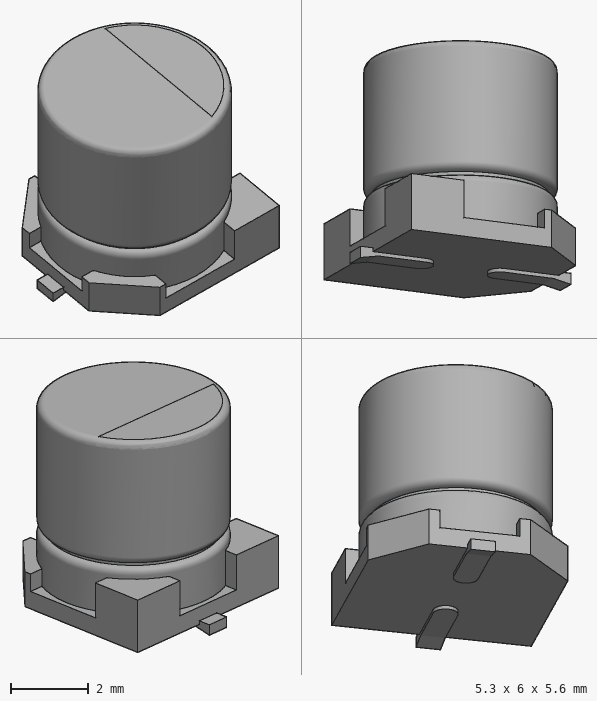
import cadquery as cq

base_bottom = 0.2
base_floor = 0.7
front_post_top = 1.2
rear_post_top = 1.7
can_bottom = base_floor
groove_bottom = 2.0
groove_top = 2.1
can_top = 5.6

base_size = 5.3
base_half = base_size / 2
corner_chamfer = 1.3
side_gap_width = 2.3
end_gap_width = 2.12

can_radius = 5.0 / 2
edge_radius = 0.2
groove_radius = can_radius - edge_radius

mark_edge_y = 0.8
mark_thickness = 0.1

lead_width = 0.65
lead_inner_y = 0.8
lead_outer_y = 3.0
lead_bottom = 0.1
lead_top = 0.3
lead_bend_length = 0.5
lead_bend_y = lead_outer_y - lead_bend_length


def make_can():
    """Revolved can with rounded rims above and below the crimp groove."""
    profile = (
        cq.Workplane("XZ")
        .moveTo(0, can_bottom)
        .lineTo(can_radius, can_bottom)
        .lineTo(can_radius, groove_bottom - edge_radius)
        .radiusArc((groove_radius, groove_bottom), -edge_radius)
        .lineTo(groove_radius, groove_top)
        .radiusArc((can_radius, groove_top + edge_radius), -edge_radius)
        .lineTo(can_radius, can_top - edge_radius)
        .radiusArc((groove_radius, can_top), -edge_radius)
        .lineTo(0, can_top)
        .close()
    )
    return profile.revolve(360, (0, 0, 0), (0, 1, 0))


def make_mark():
    """Circular segment on the +Y side, flush with the can top."""
    disc = (
        cq.Workplane("XY", origin=(0, 0, can_top - mark_thickness))
        .circle(groove_radius)
        .extrude(mark_thickness)
    )
    front_part = (
        cq.Workplane("XY", origin=(0, mark_edge_y - can_radius, can_top))
        .box(2 * can_radius, 2 * can_radius, 2 * mark_thickness)
    )
    return disc.cut(front_part)


def make_lead(side):
    """Lead with a round inner end and a down-sloping outer tip; side is +1 for +Y, -1 for -Y."""
    half_width = lead_width / 2
    round_center_y = side * (lead_inner_y + half_width)
    side_profile = [
        (side * lead_inner_y, lead_bottom),
        (side * lead_bend_y, lead_bottom),
        (side * lead_outer_y, 0),
        (side * lead_outer_y, lead_top),
        (side * lead_inner_y, lead_top),
    ]
    bar = (
        cq.Workplane("YZ")
        .polyline(side_profile)
        .close()
        .extrude(half_width, both=True)
    )
    outline = (
        cq.Workplane("XY")
        .moveTo(-half_width, side * lead_outer_y)
        .lineTo(-half_width, round_center_y)
        .threePointArc((0, side * lead_inner_y), (half_width, round_center_y))
        .lineTo(half_width, side * lead_outer_y)
        .close()
        .extrude(lead_top)
    )
    return bar.intersect(outline)


def make_base(leads):
    """Floor plate with four corner posts around the can and a slot under it for each lead."""
    base = (
        cq.Workplane("XY", origin=(0, 0, base_bottom))
        .rect(base_size, base_size)
        .extrude(rear_post_top - base_bottom)
        .edges("|Z")
        .edges("<Y")
        .chamfer(corner_chamfer)
    )

    post_height = rear_post_top - base_floor
    above_floor = cq.Workplane("XY", origin=(0, 0, base_floor))
    base = base.cut(above_floor.circle(can_radius).extrude(post_height))
    base = base.cut(above_floor.rect(base_size, side_gap_width).extrude(post_height))
    base = base.cut(above_floor.rect(end_gap_width, base_size).extrude(post_height))

    front_step = (
        cq.Workplane("XY", origin=(0, -base_half / 2, front_post_top))
        .rect(base_size, base_half)
        .extrude(rear_post_top - front_post_top)
    )
    base = base.cut(front_step)

    for lead in leads:
        base = base.cut(lead)
    return base


leads = [make_lead(side) for side in (1, -1)]
base = make_base(leads)
mark = make_mark()
can = make_can().cut(mark)

result = cq.Compound.makeCompound([
    base.val(),
    can.val(),
    mark.val(),
    *[lead.val() for lead in leads],
])